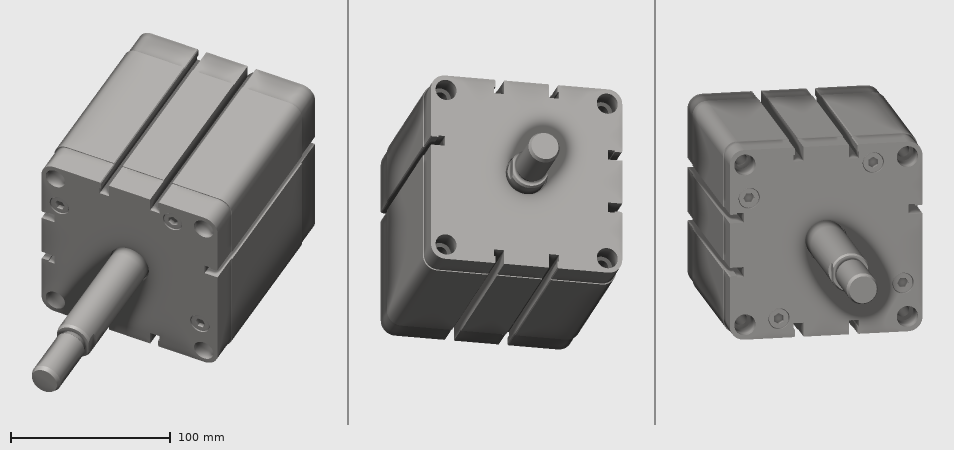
import cadquery as cq
import math

TOTAL_LENGTH = 306.5

BARREL_SIZE = 124.0
CAP_SIZE = 123.0
CORNER_RADIUS = 9.2
CAP_LENGTH = 19.3
BODY_FRONT = -33.7
BODY_BACK = 103.3

ROD_DIAMETER = 25.0
THREAD_DIAMETER = 20.0
GROOVE_DIAMETER = 17.5
THREAD_LENGTH = 39.8
GROOVE_WIDTH = 2.5
THREAD_START_CHAMFER = 1.2
THREAD_CHAMFER_LENGTH = 2.8
SHOULDER_CHAMFER_LENGTH = 1.8
SHOULDER_CHAMFER_HEIGHT = 1.0
FLATS_ACROSS = 22.0
FLATS_LENGTH = 6.7
FLAT_RUNOUT_LENGTH = 1.8
FLAT_RUNOUT_HEIGHT = 1.5

SEAL_BORE_DIAMETER = 27.0
SEAL_BORE_DEPTH = 3.0

MOUNT_HOLE_OFFSET = 51.8
MOUNT_HOLE_DIAMETER = 8.3
MOUNT_BORE_DIAMETER = 13.5
MOUNT_BORE_DEPTH = 15.3

SCREW_NEAR = 30.0
SCREW_FAR = 49.0
SCREW_POCKET_DIAMETER = 13.5
SCREW_HEAD_DIAMETER = 12.5
SCREW_POCKET_DEPTH = 3.0
SCREW_HEAD_RECESS = 0.5
SOCKET_ACROSS_FLATS = 6.0
SOCKET_DEPTH = 3.0

SLOT_INNER = 14.5
SLOT_OUTER = 20.0
SLOT_UNDERCUT_OUTER = 20.8
SLOT_UNDERCUT_TOP = 56.7
SLOT_FLOOR = 52.5
SLOT_CHAMFER = 0.5
SLOT_OVERCUT = 3.0

HALF_LENGTH = TOTAL_LENGTH / 2
ROD_SHOULDER = HALF_LENGTH - THREAD_LENGTH
BODY_LENGTH = BODY_BACK - BODY_FRONT


def along_y(y):
    """Sketch plane at position y, with local x = X, local y = Z and its normal toward -Y."""
    return cq.Workplane("XZ", origin=(0, y, 0))


def block(size, y_start, y_end):
    """Square block with rounded long edges between two Y positions."""
    return (
        along_y(y_end)
        .rect(size, size)
        .extrude(y_end - y_start)
        .edges("|Y")
        .fillet(CORNER_RADIUS)
    )


def cylinders(points, diameter, y_start, y_end):
    return along_y(y_end).pushPoints(points).circle(diameter / 2).extrude(y_end - y_start)


def slot(size, side_angle, mirrored):
    """Sensor slot in a block of the given size, on the side at side_angle (0 = top).

    The flank away from the mid plane is undercut and has a chamfered mouth edge.
    """
    surface = size / 2
    mouth = surface + SLOT_OVERCUT
    chamfer_x = SLOT_OUTER + SLOT_CHAMFER
    sign = -1 if mirrored else 1
    outline = [
        (SLOT_INNER, mouth),
        (SLOT_INNER, SLOT_FLOOR),
        (SLOT_UNDERCUT_OUTER, SLOT_FLOOR),
        (SLOT_UNDERCUT_OUTER, SLOT_UNDERCUT_TOP),
        (SLOT_OUTER, SLOT_UNDERCUT_TOP),
        (SLOT_OUTER, surface - SLOT_CHAMFER),
        (chamfer_x, surface),
        (chamfer_x, mouth),
    ]
    cutter = (
        along_y(BODY_BACK)
        .polyline([(sign * x, z) for x, z in outline])
        .close()
        .extrude(BODY_LENGTH)
    )
    return cutter.rotate((0, 0, 0), (0, 1, 0), side_angle)


def slotted_block(size, y_start, y_end):
    """Block with two slots on the top, bottom and -X sides and only the upper one on the +X side."""
    shape = block(size, y_start, y_end)
    for side_angle in (0, 180, 270):
        for mirrored in (False, True):
            shape = shape.cut(slot(size, side_angle, mirrored))
    return shape.cut(slot(size, 90, True))


def make_body():
    """Barrel between two slightly smaller end caps."""
    barrel_front = BODY_FRONT + CAP_LENGTH
    barrel_back = BODY_BACK - CAP_LENGTH
    front_cap = slotted_block(CAP_SIZE, BODY_FRONT, barrel_front)
    barrel = slotted_block(BARREL_SIZE, barrel_front, barrel_back)
    back_cap = slotted_block(CAP_SIZE, barrel_back, BODY_BACK)
    return barrel.union(front_cap).union(back_cap)


def cut_mount_holes(body):
    """Through holes in the four corners, counterbored at both end faces."""
    corners = [(i * MOUNT_HOLE_OFFSET, k * MOUNT_HOLE_OFFSET) for i in (-1, 1) for k in (-1, 1)]
    body = body.cut(cylinders(corners, MOUNT_HOLE_DIAMETER, BODY_FRONT, BODY_BACK))
    body = body.cut(cylinders(corners, MOUNT_BORE_DIAMETER, BODY_FRONT, BODY_FRONT + MOUNT_BORE_DEPTH))
    return body.cut(cylinders(corners, MOUNT_BORE_DIAMETER, BODY_BACK - MOUNT_BORE_DEPTH, BODY_BACK))


def add_front_screws(body):
    """Four socket head screws in pockets of the front cap, a quarter turn apart."""
    pocket_floor = BODY_FRONT + SCREW_POCKET_DEPTH
    head_face = BODY_FRONT + SCREW_HEAD_RECESS
    place = [(SCREW_NEAR, SCREW_FAR)]
    socket_corner_diameter = SOCKET_ACROSS_FLATS / math.cos(math.pi / 6)

    pocket = cylinders(place, SCREW_POCKET_DIAMETER, BODY_FRONT, pocket_floor)
    head = cylinders(place, SCREW_HEAD_DIAMETER, head_face, pocket_floor)
    socket = (
        along_y(head_face + SOCKET_DEPTH)
        .center(SCREW_NEAR, SCREW_FAR)
        .transformed(rotate=(0, 0, 90))
        .polygon(6, socket_corner_diameter)
        .extrude(SOCKET_DEPTH)
    )
    for angle in (0, 90, 180, 270):
        turn = ((0, 0, 0), (0, 1, 0), angle)
        body = body.cut(pocket.rotate(*turn)).union(head.rotate(*turn)).cut(socket.rotate(*turn))
    return body


def cut_seal_bores(body):
    """Annular clearance around the rod at both end faces."""
    axis = [(0, 0)]
    body = body.cut(cylinders(axis, SEAL_BORE_DIAMETER, BODY_FRONT, BODY_FRONT + SEAL_BORE_DEPTH))
    return body.cut(cylinders(axis, SEAL_BORE_DIAMETER, BODY_BACK - SEAL_BORE_DEPTH, BODY_BACK))


def rod_half():
    """Half of the rod toward +Y: shank, wrench flats, relief groove and threaded end."""
    rod_radius = ROD_DIAMETER / 2
    groove_radius = GROOVE_DIAMETER / 2
    thread_radius = THREAD_DIAMETER / 2
    thread_start = ROD_SHOULDER + GROOVE_WIDTH + THREAD_START_CHAMFER
    profile = [
        (0, 0),
        (rod_radius, 0),
        (rod_radius, ROD_SHOULDER - SHOULDER_CHAMFER_LENGTH),
        (rod_radius - SHOULDER_CHAMFER_HEIGHT, ROD_SHOULDER),
        (groove_radius, ROD_SHOULDER),
        (groove_radius, ROD_SHOULDER + GROOVE_WIDTH),
        (thread_radius, thread_start),
        (thread_radius, HALF_LENGTH - THREAD_CHAMFER_LENGTH),
        (groove_radius, HALF_LENGTH),
        (0, HALF_LENGTH),
    ]
    half = cq.Workplane("XY").polyline(profile).close().revolve(360, (0, 0, 0), (0, 1, 0))

    flat_x = FLATS_ACROSS / 2
    flat_start = ROD_SHOULDER - FLATS_LENGTH
    flat_profile = [
        (flat_x, ROD_SHOULDER),
        (flat_x, flat_start),
        (flat_x + FLAT_RUNOUT_HEIGHT, flat_start - FLAT_RUNOUT_LENGTH),
        (flat_x + FLAT_RUNOUT_HEIGHT, ROD_SHOULDER),
    ]
    flat = cq.Workplane("XY").polyline(flat_profile).close().extrude(rod_radius, both=True)
    return half.cut(flat).cut(flat.mirror("YZ"))


body = cut_mount_holes(make_body())
body = add_front_screws(body)
body = cut_seal_bores(body)

front_rod = rod_half().mirror("XZ")
result = body.union(rod_half()).union(front_rod)